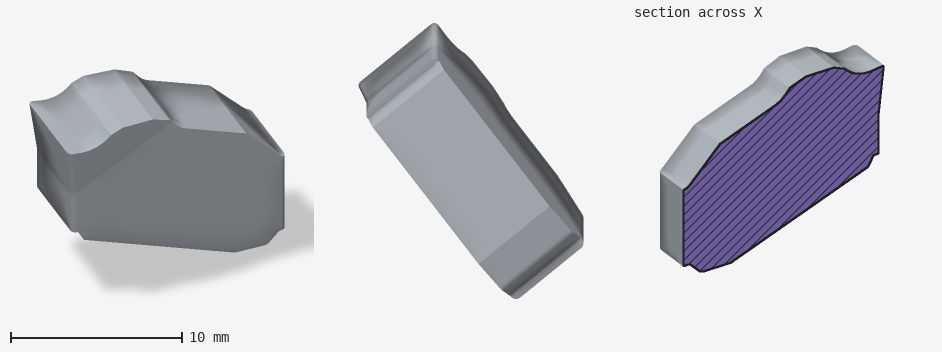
import cadquery as cq
import math

LENGTH = 14.0
HEIGHT = 10.9
BODY_WIDTH = 5.44
BLANK_WIDTH = 8.0
COLUMN_MARGIN = 0.5

SLOPE_ANGLE = 20.0
HEEL_FRONT_Y = 10.69
HEEL_BACK_Y = 12.75
BACK_LEDGE_Z = 0.78
FRONT_LEDGE_Y = 0.72
FRONT_LEDGE_Z = 4.15
TOE_ANGLE = 60.0

FRONT_Y = 0.37
KNEE_Z = 6.75
TIP_Z = 9.97

RIM_BACK_Y = 0.885
RIM_BACK_Z = 9.86
HOLLOW_BACK_Y = 2.74
HOLLOW_BACK_Z = 10.59
HOLLOW_RADIUS = 2.25
CREST_FRONT_Y = 3.5
CREST_BACK_Y = 5.42
STEP_TOP_Y = 6.57
STEP_TOP_ANGLE = 53.0
STEP_FOOT_Y = 7.55
STEP_FACE_BACK_Y = 8.73
RAMP_TOP_Y = 11.43
RAMP_TOP_Z = 8.22
RAMP_ANGLE = 45.0
BACK_TOP_Z = 5.92

CORNER_RADIUS = 0.2
HEEL_RADIUS = 0.46
LEDGE_RADIUS = 0.1
FRONT_EDGE_RADIUS = 0.3
BACK_EDGE_RADIUS = 0.4

CREASE_FRONT = (0.67, 7.02)
CREASE_BACK = (6.68, 10.32)
FLARE_ANGLE = 5.9


def rise_over(run, angle):
    """Rise or fall over a horizontal run at the given pitch."""
    return run * math.tan(math.radians(angle))


HEEL_FRONT = (HEEL_FRONT_Y, 0)
HEEL_BACK = (HEEL_BACK_Y, 0)
BACK_LEDGE = (HEEL_BACK_Y + BACK_LEDGE_Z, BACK_LEDGE_Z)

underside_rise = rise_over(1, SLOPE_ANGLE)
toe_rise = rise_over(1, TOE_ANGLE)
toe_y = (
    FRONT_LEDGE_Z + toe_rise * FRONT_LEDGE_Y - underside_rise * HEEL_FRONT_Y
) / (toe_rise - underside_rise)
TOE = (toe_y, rise_over(HEEL_FRONT_Y - toe_y, SLOPE_ANGLE))
FRONT_LEDGE = (FRONT_LEDGE_Y, FRONT_LEDGE_Z)

RIM_BACK = (RIM_BACK_Y, RIM_BACK_Z)
HOLLOW_BACK = (HOLLOW_BACK_Y, HOLLOW_BACK_Z)
CREST_FRONT = (CREST_FRONT_Y, HEIGHT)
CREST_BACK = (CREST_BACK_Y, HEIGHT)
STEP_TOP = (STEP_TOP_Y, HEIGHT - rise_over(STEP_TOP_Y - CREST_BACK_Y, SLOPE_ANGLE))

RAMP_TOP = (RAMP_TOP_Y, RAMP_TOP_Z)
STEP_FACE_BACK = (STEP_FACE_BACK_Y, RAMP_TOP_Z + rise_over(RAMP_TOP_Y - STEP_FACE_BACK_Y, SLOPE_ANGLE))
STEP_FOOT = (STEP_FOOT_Y, RAMP_TOP_Z + rise_over(RAMP_TOP_Y - STEP_FOOT_Y, SLOPE_ANGLE))

ramp_corner_y = RAMP_TOP_Y + RAMP_TOP_Z - BACK_TOP_Z
ramp_curve_run = (LENGTH - ramp_corner_y) * math.cos(math.radians(RAMP_ANGLE))
RAMP_FOOT = (ramp_corner_y - ramp_curve_run, BACK_TOP_Z + ramp_curve_run)
RAMP_END = (LENGTH, BACK_TOP_Z)


def backward(angle):
    """Direction towards the back, descending at the given pitch."""
    return (math.cos(math.radians(angle)), -math.sin(math.radians(angle)))


def profile_blank():
    """Side profile with sharp corners, extruded across the width."""
    step_directions = [backward(STEP_TOP_ANGLE), backward(SLOPE_ANGLE), backward(SLOPE_ANGLE)]
    ramp_directions = [backward(RAMP_ANGLE), backward(RAMP_ANGLE), backward(0)]
    outline = (
        cq.Workplane("YZ", origin=(-BLANK_WIDTH / 2, 0, 0))
        .moveTo(*HEEL_FRONT)
        .lineTo(*TOE)
        .lineTo(*FRONT_LEDGE)
        .lineTo(FRONT_Y, FRONT_LEDGE_Z)
        .lineTo(FRONT_Y, KNEE_Z)
        .lineTo(0, TIP_Z)
        .lineTo(*RIM_BACK)
        .radiusArc(HOLLOW_BACK, -HOLLOW_RADIUS)
        .lineTo(*CREST_FRONT)
        .lineTo(*CREST_BACK)
        .lineTo(*STEP_TOP)
        .spline([STEP_TOP, STEP_FOOT, STEP_FACE_BACK], tangents=step_directions)
        .lineTo(*RAMP_TOP)
        .spline([RAMP_TOP, RAMP_FOOT, RAMP_END], tangents=ramp_directions)
        .lineTo(LENGTH, BACK_LEDGE_Z)
        .lineTo(*BACK_LEDGE)
        .lineTo(*HEEL_BACK)
        .close()
    )
    return outline.extrude(BLANK_WIDTH)


def round_corner(body, corner, radius):
    """Round the edge that runs across the width at a profile corner."""
    edge = cq.selectors.NearestToPointSelector((0, *corner))
    return body.edges("|X").edges(edge).fillet(radius)


def front_slab(lean):
    """Space between a plane through the knee line, leaning forward, and the back face."""
    return (
        cq.Workplane("YZ")
        .moveTo(FRONT_Y + lean * (KNEE_Z + COLUMN_MARGIN), -COLUMN_MARGIN)
        .lineTo(FRONT_Y - lean * (HEIGHT + COLUMN_MARGIN - KNEE_Z), HEIGHT + COLUMN_MARGIN)
        .lineTo(LENGTH, HEIGHT + COLUMN_MARGIN)
        .lineTo(LENGTH, -COLUMN_MARGIN)
        .close()
        .extrude(BLANK_WIDTH / 2, both=True)
    )


def flank_wedge(angle):
    """Space between two flanks that open upwards, at body width along the creases."""
    run = CREASE_FRONT[0] - CREASE_BACK[0]
    rise = CREASE_FRONT[1] - CREASE_BACK[1]
    reach = 1.5 * LENGTH
    half_body = BODY_WIDTH / 2
    spread = rise_over(reach, angle)
    section = [
        (-half_body + spread, -reach),
        (half_body - spread, -reach),
        (half_body + spread, reach),
        (-half_body - spread, reach),
    ]
    across_crease = cq.Plane(origin=(0, *CREASE_BACK), xDir=(1, 0, 0), normal=(0, run, rise))
    return cq.Workplane(across_crease).polyline(section).close().extrude(reach, both=True)


def rounded_column(lean, angle):
    """Column with one front plane and one pair of flanks, its upright edges rounded."""
    column = front_slab(lean).intersect(flank_wedge(angle))
    column = column.faces("<Y").edges("not |X").fillet(FRONT_EDGE_RADIUS)
    return column.faces(">Y").edges("not |X").fillet(BACK_EDGE_RADIUS)


corner_radii = [
    (BACK_LEDGE, CORNER_RADIUS),
    (HEEL_BACK, HEEL_RADIUS),
    (TOE, CORNER_RADIUS),
    (FRONT_LEDGE, LEDGE_RADIUS),
    (HOLLOW_BACK, CORNER_RADIUS),
    (CREST_FRONT, CORNER_RADIUS),
    (CREST_BACK, CORNER_RADIUS),
    (STEP_TOP, CORNER_RADIUS),
    (RAMP_TOP, CORNER_RADIUS),
]

blank = profile_blank()
for corner, radius in corner_radii:
    blank = round_corner(blank, corner, radius)

lean = FRONT_Y / (TIP_Z - KNEE_Z)
column = rounded_column(0, 0)
column = column.union(rounded_column(lean, 0))
column = column.union(rounded_column(lean, FLARE_ANGLE))
result = blank.intersect(column)